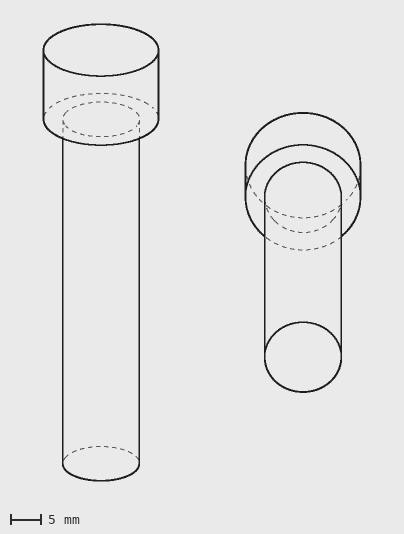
import cadquery as cq

total_length = 76.35
shank_diameter = 12.7
head_diameter = 19.0
head_height = 12.75

shank_length = total_length - head_height


def make_shank():
    """Plain round shank standing on the XY plane, along Z."""
    return cq.Workplane("XY").circle(shank_diameter / 2).extrude(shank_length)


def make_head():
    """Plain round head resting on the top end of the shank."""
    return (
        cq.Workplane("XY")
        .workplane(offset=shank_length)
        .circle(head_diameter / 2)
        .extrude(head_height)
    )


shank = make_shank()
head = make_head()

result = cq.Compound.makeCompound([shank.val(), head.val()])